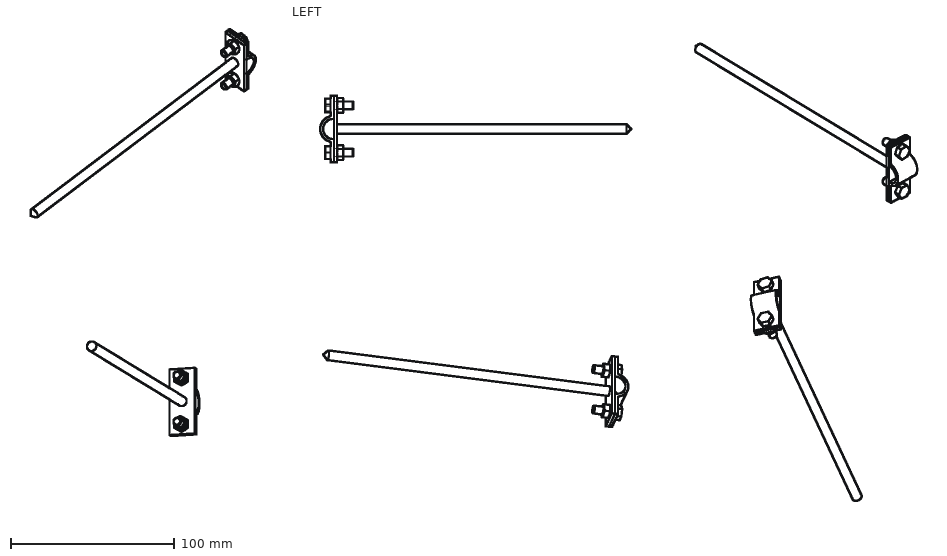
import cadquery as cq
import math

total_length = 190.5
plate_width = 16.0
plate_height = 41.0
plate_thickness = 2.0

strap_thickness = 1.9
loop_outer_radius = 8.0
loop_centre_y = 0.4
loop_inner_radius = loop_outer_radius - strap_thickness
loop_fillet = 1.0

rod_diameter = 6.0
rod_point_length = rod_diameter / 2

bolt_offset = 14.5
bolt_diameter = 5.0
bolt_tip_diameter = 4.2
bolt_tip_length = 0.5
bolt_reach = 12.0
head_thickness = 3.5
upper_head_turn = 7.0
lower_head_turn = 0.0

hex_flats = 8.0
hex_corners = hex_flats / math.cos(math.radians(30))
nut_height = 4.0
nut_face_diameter = 6.7
nut_chamfer_height = 0.5
nut_base_diameter = hex_flats
nut_base_chamfer_height = 0.4


def cylinder_y(diameter, y_start, y_end, z=0.0):
    """Cylinder along Y between two Y positions."""
    start = cq.Workplane("XZ", origin=(0, y_start, z))
    return start.circle(diameter / 2).extrude(y_start - y_end)


def hex_prism_y(y_start, y_end, z, turn):
    """Hexagonal prism along Y; turn is clockwise, from corners pointing along X."""
    start = cq.Workplane("XZ", origin=(0, y_start, z))
    prism = start.polygon(6, hex_corners).extrude(y_start - y_end)
    return prism.rotate((0, 0, z), (0, 1, z), turn)


def cut_bolt_holes(body):
    """Drill the two bolt holes through a flat body."""
    for z in (bolt_offset, -bolt_offset):
        body = body.cut(cylinder_y(bolt_diameter, strap_thickness, -plate_thickness, z))
    return body


def make_plate():
    """Flat plate in front of the seam."""
    plate = cq.Workplane("XY").box(plate_width, plate_thickness, plate_height)
    return cut_bolt_holes(plate.translate((0, -plate_thickness / 2, 0)))


def make_strap():
    """Flat strap with a half-round loop bent out of its middle."""
    flat = cq.Workplane("XY").box(plate_width, strap_thickness, plate_height)
    flat = flat.translate((0, strap_thickness / 2, 0))
    side = cq.Workplane("YZ", origin=(-plate_width / 2, 0, 0))
    loop = (
        side.moveTo(0, -loop_outer_radius)
        .lineTo(loop_centre_y, -loop_outer_radius)
        .threePointArc((loop_centre_y + loop_outer_radius, 0), (loop_centre_y, loop_outer_radius))
        .lineTo(0, loop_outer_radius)
        .close()
        .extrude(plate_width)
    )
    bore = (
        side.moveTo(0, -loop_inner_radius)
        .lineTo(loop_centre_y, -loop_inner_radius)
        .threePointArc((loop_centre_y + loop_inner_radius, 0), (loop_centre_y, loop_inner_radius))
        .lineTo(0, loop_inner_radius)
        .close()
        .extrude(plate_width)
    )
    strap = flat.union(loop)
    bend_z = math.sqrt(loop_outer_radius**2 - (strap_thickness - loop_centre_y) ** 2)
    for z in (bend_z, -bend_z):
        bend_edge = cq.selectors.NearestToPointSelector((0, strap_thickness, z))
        strap = strap.edges("|X").edges(bend_edge).fillet(loop_fillet)
    return cut_bolt_holes(strap.cut(bore))


def make_rod():
    """Round rod standing on the plate, with a conical point."""
    tip_y = loop_centre_y + loop_outer_radius - total_length
    profile = (
        cq.Workplane("XY")
        .moveTo(0, -plate_thickness)
        .lineTo(rod_diameter / 2, -plate_thickness)
        .lineTo(rod_diameter / 2, tip_y + rod_point_length)
        .lineTo(0, tip_y)
        .close()
    )
    return profile.revolve(360, (0, 0, 0), (0, 1, 0))


def make_bolt(z, head_turn):
    """Hex-head bolt with a chamfered tip."""
    head = hex_prism_y(strap_thickness + head_thickness, strap_thickness, z, head_turn)
    shank = (
        cq.Workplane("XY")
        .moveTo(0, strap_thickness)
        .lineTo(bolt_diameter / 2, strap_thickness)
        .lineTo(bolt_diameter / 2, bolt_tip_length - bolt_reach)
        .lineTo(bolt_tip_diameter / 2, -bolt_reach)
        .lineTo(0, -bolt_reach)
        .close()
        .revolve(360, (0, 0, 0), (0, 1, 0))
        .translate((0, 0, z))
    )
    return head.union(shank)


def make_nut(z):
    """Hex nut, corners along Z, with each face cone-chamfered to a circle."""
    corner_radius = hex_corners / 2
    face_radius = nut_face_diameter / 2
    envelope = (
        cq.Workplane("XY")
        .moveTo(0, 0)
        .lineTo(nut_base_diameter / 2, 0)
        .lineTo(corner_radius, -nut_base_chamfer_height)
        .lineTo(corner_radius, nut_chamfer_height - nut_height)
        .lineTo(face_radius, -nut_height)
        .lineTo(0, -nut_height)
        .close()
        .revolve(360, (0, 0, 0), (0, 1, 0))
        .translate((0, -plate_thickness, z))
    )
    nut_end = -plate_thickness - nut_height
    nut = hex_prism_y(-plate_thickness, nut_end, z, 30).intersect(envelope)
    return nut.cut(cylinder_y(bolt_diameter, -plate_thickness, nut_end, z))


plate = make_plate()
strap = make_strap()
rod = make_rod()
fastener_places = ((bolt_offset, upper_head_turn), (-bolt_offset, lower_head_turn))
bolts = [make_bolt(z, turn) for z, turn in fastener_places]
nuts = [make_nut(z) for z, turn in fastener_places]

result = cq.Compound.makeCompound(
    [
        plate.val(),
        strap.val(),
        rod.val(),
        *[bolt.val() for bolt in bolts],
        *[nut.val() for nut in nuts],
    ]
)